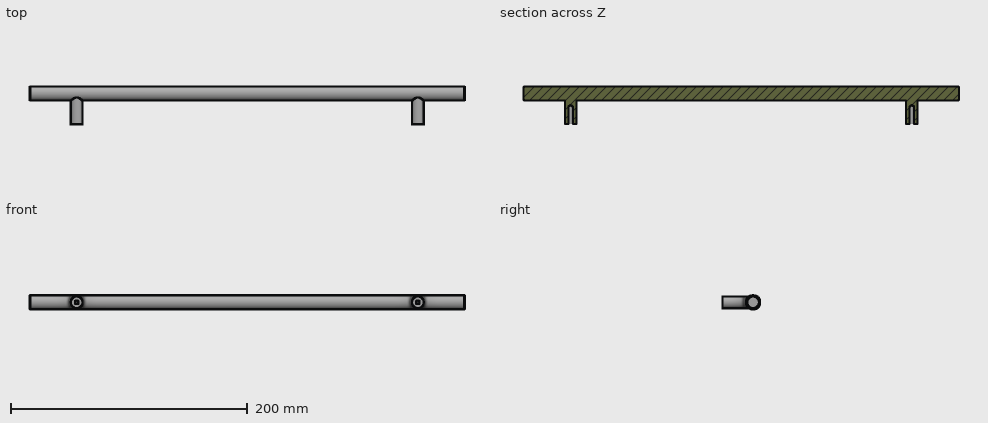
import cadquery as cq
import math

bar_length = 368.0
bar_diameter = 12.0
bar_end_chamfer = 1.0
post_spacing = 288.0
post_diameter = 10.0
post_reach = 26.0
screw_hole_diameter = 3.2
screw_hole_depth = 15.0
drill_tip_angle = 118.0

TOWARD_BAR = cq.Vector(0, 1, 0)


def make_bar():
    """Round grip bar along X, centred on the origin, with chamfered ends."""
    bar_start = cq.Workplane("YZ", origin=(-bar_length / 2, 0, 0))
    bar = bar_start.circle(bar_diameter / 2).extrude(bar_length)
    return bar.faces("<X or >X").chamfer(bar_end_chamfer)


def make_post(x):
    """Round post from the mounting face up to the bar axis."""
    start = cq.Vector(x, -post_reach, 0)
    return cq.Workplane(cq.Solid.makeCylinder(post_diameter / 2, post_reach, start, TOWARD_BAR))


def make_screw_hole(x):
    """Blind drilled hole in the mounting face of a post, ending in a drill tip."""
    radius = screw_hole_diameter / 2
    tip_height = radius / math.tan(math.radians(drill_tip_angle / 2))
    start = cq.Vector(x, -post_reach, 0)
    tip_start = start + TOWARD_BAR * screw_hole_depth
    shaft = cq.Solid.makeCylinder(radius, screw_hole_depth, start, TOWARD_BAR)
    tip = cq.Solid.makeCone(radius, 0, tip_height, tip_start, TOWARD_BAR)
    return cq.Workplane(shaft).union(cq.Workplane(tip))


result = make_bar()
for post_x in (-post_spacing / 2, post_spacing / 2):
    result = result.union(make_post(post_x)).cut(make_screw_hole(post_x))